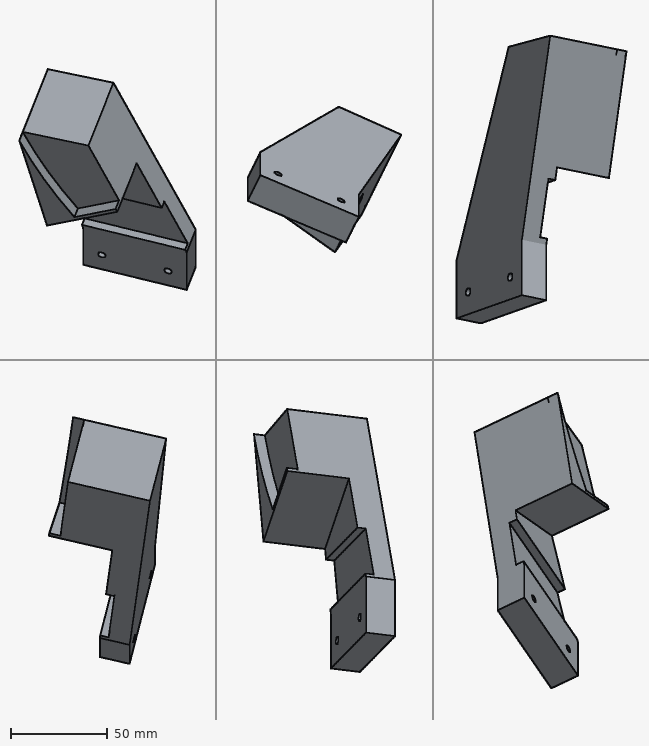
import cadquery as cq
import math

height = 136.5
base_left = 24.3
base_right = 80.5
left_knee_z = 29.9
right_knee_z = 31.1
top_left = (0, 134.6)
top_right = (35.8, height)

plate_depth = 16.0
total_depth = 49.8
lip_depth = 6.0

underside_left_z = 69.5
underside_right_z = 95.2

lip_width = 2.2
recess_corner_x = 30
recess_bow = 1.8

slot_bottom_z = 33.0
slot_height = 30
slot_depth = 4.5

hole_diameter = 4.0
hole_spacing = 36.0
hole_z = 12.0


def left_edge_x(z):
    """X of the left slanted edge at height z."""
    slope = (top_left[0] - base_left) / (top_left[1] - left_knee_z)
    return base_left + slope * (z - left_knee_z)


def right_edge_x(z):
    """X of the right slanted edge at height z."""
    slope = (top_right[0] - base_right) / (top_right[1] - right_knee_z)
    return base_right + slope * (z - right_knee_z)


def at_y(y):
    """XZ sketch plane at the given Y; positive extrusion runs toward the front."""
    return cq.Workplane("XZ", origin=(0, y, 0))


underside_left = (left_edge_x(underside_left_z), underside_left_z)
underside_right = (right_edge_x(underside_right_z), underside_right_z)


def make_plate():
    """Full-height back plate with a straight base and slanted upper sides."""
    outline = [
        (base_left, 0),
        (base_right, 0),
        (base_right, right_knee_z),
        top_right,
        top_left,
        (base_left, left_knee_z),
    ]
    return at_y(0).polyline(outline).close().extrude(plate_depth)


def make_head():
    """Block that stands forward from the upper part of the plate."""
    outline = [underside_left, underside_right, top_right, top_left]
    return at_y(-plate_depth).polyline(outline).close().extrude(total_depth - plate_depth)


def make_recess():
    """Front recess, open at the top and right, leaving a lip below and a bowed flank at left."""
    run = underside_right[0] - underside_left[0]
    rise = underside_right_z - underside_left_z
    lip_slope = rise / run
    lip_rise = lip_width * math.hypot(run, rise) / run

    def lip_top(x):
        return (x, underside_left_z + lip_slope * (x - underside_left[0]) + lip_rise)

    corner = lip_top(recess_corner_x)
    chord_x = corner[0] - top_left[0]
    chord_z = corner[1] - top_left[1]
    chord = math.hypot(chord_x, chord_z)
    flank_middle = (
        top_left[0] + chord_x / 2 + recess_bow * chord_z / chord,
        top_left[1] + chord_z / 2 - recess_bow * chord_x / chord,
    )
    return (
        at_y(lip_depth - total_depth)
        .moveTo(*top_left)
        .threePointArc(flank_middle, corner)
        .lineTo(*lip_top(base_right))
        .lineTo(base_right, height)
        .lineTo(top_left[0], height)
        .close()
        .extrude(lip_depth)
    )


def make_slot():
    """Full-width horizontal slot across the front face of the plate."""
    return cq.Workplane("XY").box(base_right, slot_depth, slot_height, centered=False).translate(
        (0, -plate_depth, slot_bottom_z)
    )


def make_holes():
    """Pair of mounting holes through the base, centred across its width."""
    base_middle = (base_left + base_right) / 2
    centers = [(base_middle + side * hole_spacing / 2, hole_z) for side in (-1, 1)]
    return at_y(0).pushPoints(centers).circle(hole_diameter / 2).extrude(plate_depth)


body = make_plate().union(make_head())
result = body.cut(make_recess()).cut(make_slot()).cut(make_holes())